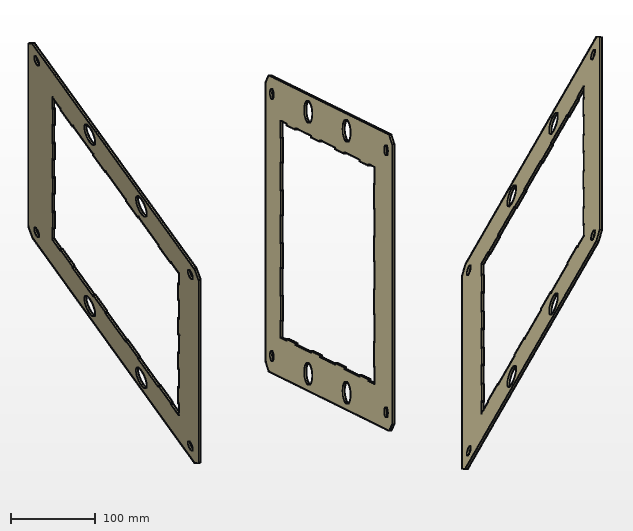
import cadquery as cq

plate_width = 416.5
plate_height = 356.0
plate_thickness = 3.0
corner_chamfer = 10.0

window_shift = 5.0
window_width = 310.0
window_height = 260.7

tabs_per_edge = 4
tab_length = 30.0
tab_depth = 2.0
tab_pitch_horizontal = 80.0
tab_pitch_vertical = 63.5

hole_row_height = 157.5
corner_hole_diameter = 12.0
corner_hole_spacing = 375.5
large_hole_diameter = 26.2
large_hole_spacing = 126.0

cutter_reach = plate_thickness

both_sides = (-1, 1)


def make_plate():
    plate = cq.Workplane("XZ").rect(plate_width, plate_height).extrude(plate_thickness / 2, both=True)
    return plate.edges("|Y").chamfer(corner_chamfer)


def make_blocks(centres, width, height):
    """Equal rectangular blocks at the given (x, z) centres."""
    return cq.Workplane("XZ").pushPoints(centres).rect(width, height).extrude(cutter_reach, both=True)


def centred_positions(count, pitch):
    """Evenly pitched positions, symmetric about zero."""
    return [(index - (count - 1) / 2) * pitch for index in range(count)]


def make_window():
    """Cutter for the window: a rectangle notched where the tabs stay standing."""
    horizontal_edge_tabs = [
        (window_shift + x, side * window_height / 2)
        for x in centred_positions(tabs_per_edge, tab_pitch_horizontal)
        for side in both_sides
    ]
    vertical_edge_tabs = [
        (window_shift + side * window_width / 2, z)
        for z in centred_positions(tabs_per_edge, tab_pitch_vertical)
        for side in both_sides
    ]
    window = make_blocks([(window_shift, 0)], window_width, window_height)
    window = window.cut(make_blocks(horizontal_edge_tabs, tab_length, 2 * tab_depth))
    return window.cut(make_blocks(vertical_edge_tabs, 2 * tab_depth, tab_length))


def make_holes(centre_x, spacing, diameter):
    """Cutter for four holes: a pair in the upper row and a pair in the lower row."""
    centres = [
        (centre_x + side * spacing / 2, row * hole_row_height)
        for side in both_sides
        for row in both_sides
    ]
    return cq.Workplane("XZ").pushPoints(centres).circle(diameter / 2).extrude(cutter_reach, both=True)


result = (
    make_plate()
    .cut(make_window())
    .cut(make_holes(0, corner_hole_spacing, corner_hole_diameter))
    .cut(make_holes(window_shift, large_hole_spacing, large_hole_diameter))
)